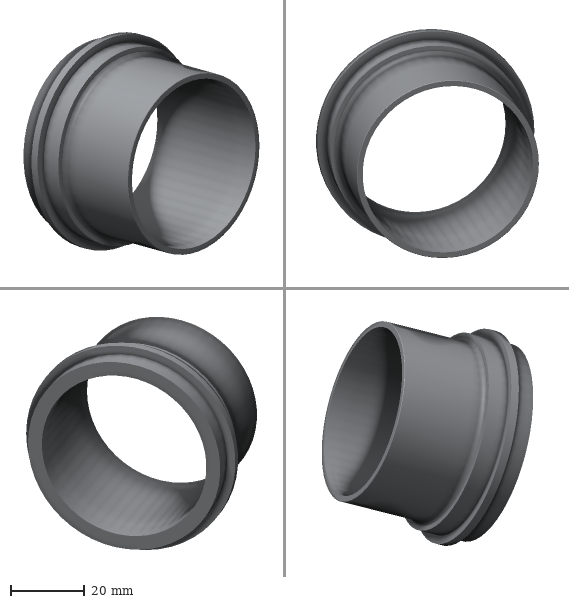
import cadquery as cq
import math

total_length = 38.1
flange_start = 5.6
flange_width = 2.3
collar_end = 13.6
fillet_length = 1.5
fillet_radius = 1.65
chamfer = 0.1

bore_diameter = 47.5
pipe_diameter = 50.8
front_collar_diameter = 55.55
rear_collar_diameter = 55.7
flange_diameter = 60.45


def ring(start, end, diameter):
    """Solid disc about the X axis between two axial positions."""
    return cq.Workplane("YZ", origin=(start, 0, 0)).circle(diameter / 2).extrude(end - start)


flange_end = flange_start + flange_width

pipe = ring(0, total_length, pipe_diameter).faces(">X").edges().chamfer(chamfer)

collar = (
    ring(0, flange_start, front_collar_diameter)
    .union(ring(flange_start, flange_end, flange_diameter))
    .union(ring(flange_end, collar_end, rear_collar_diameter))
)

pipe_radius = pipe_diameter / 2
fillet_end = collar_end + fillet_length


def fillet_surface_radius(x):
    """Distance from the X axis to the fillet surface at axial position x."""
    return pipe_radius + fillet_radius - math.sqrt(fillet_radius**2 - (fillet_end - x) ** 2)


fillet_middle = collar_end + fillet_length / 2
fillet = (
    cq.Workplane("XY")
    .moveTo(collar_end, 0)
    .lineTo(collar_end, fillet_surface_radius(collar_end))
    .threePointArc((fillet_middle, fillet_surface_radius(fillet_middle)), (fillet_end, pipe_radius))
    .lineTo(fillet_end, 0)
    .close()
    .revolve(360, (0, 0, 0), (1, 0, 0))
)

bore = ring(0, total_length, bore_diameter)

result = pipe.union(collar).union(fillet).cut(bore)